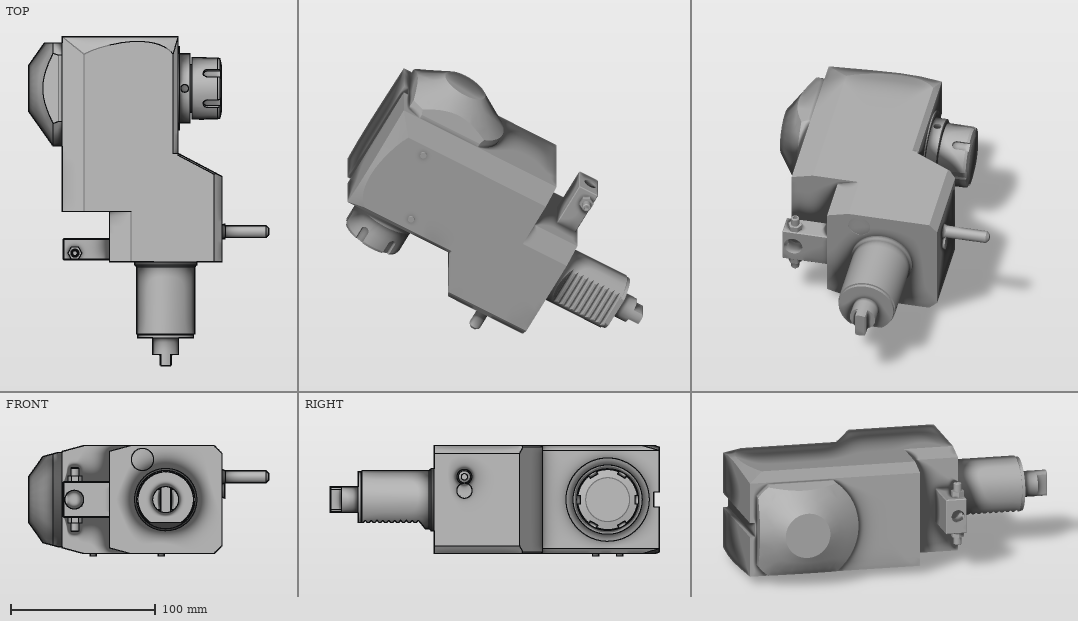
import cadquery as cq
import math


HALF_HEIGHT = 37.5
HEAD_LEFT = -71.7
HEAD_RIGHT = 8.6
HEAD_BACK = 156.0
BASE_HALF_WIDTH = 39.0
STEP_Y = 34.8
SLOPE_START_Y = 59.2
SLOPE_END_Y = 75.2
BEVEL_WIDTH = 15.1
BEVEL_ANGLE = 15.0
BEVEL_DROP = BEVEL_WIDTH * math.tan(math.radians(BEVEL_ANGLE))
BASE_CHAMFER = 5.5
HEAD_CHAMFER = 3.5
SLOPE_CHAMFER = 1.2
CROWN_DEPTH = 12.1
CROWN_RISE = 4.1
CROWN_LEFT_X, CROWN_LEFT_Z = -30.2, 36.1
CROWN_RIGHT_X, CROWN_RIGHT_Z = -13.4, 36.3
BACK_SLOT_WIDTH = 10.2
BACK_SLOT_DEPTH = 3.7
PLUG_X, PLUG_Z = -16.1, 27.8
PLUG_RADIUS = 7.7
PLUG_RECESS = 0.3

SPINDLE_Y = 120.2

COVER_RADIUS = 40.0
COVER_RIM_X = -78.0
COVER_END_X = -95.0
COVER_END_RADIUS = 15.9
COVER_BACK_Y = 151.7
COVER_LEDGE_X = -74.4

SEAT_RADIUS = 28.9
SEAT_END = 9.4
COLLAR_RADIUS = 24.0
COLLAR_END = 16.9
NECK_RADIUS = 16.7
NUT_START = 18.1
NUT_RADIUS = 21.4
NUT_TAPER_X = 35.8
NUT_LIP_X, NUT_LIP_RADIUS = 37.6, 20.8
NUT_END_X, NUT_END_RADIUS = 38.7, 15.2
NUT_SLOT_COUNT = 6
NUT_SLOT_WIDTH = 6.0
NUT_SLOT_START = 26.0
NUT_SLOT_FLOOR = 18.8
COLLAR_HOLE_RADIUS = 2.7
COLLAR_HOLE_DEPTH = 4.0

FLANGE_RADIUS = 21.6
FLANGE_END = -2.0
SHANK_START = -3.4
SHANK_RADIUS = 20.2
SHANK_RING_Y = -50.0
SHANK_END = -52.7
RING_RADIUS = 19.4
RING_GROOVE_DEPTH = 0.4
RING_GROOVE_WIDTH = 0.6
RACK_FLAT_Z = -16.0
RACK_RAMP_START = -6.1
RACK_RAMP_END = -9.5
RACK_GROOVES = 10
RACK_PITCH = 4.08
RACK_FIRST_Y = -11.0
RACK_GROOVE_DEPTH = 1.6
RACK_GROOVE_HALF_WIDTH = 1.4
TANG_RADIUS = 9.0
TANG_START = -64.2
TANG_END = -72.0
TANG_HALF_WIDTH = 3.9
TANG_FLAT_HALF = 6.9
TANG_TIP_HALF = 3.2
TANG_ROOT_FILLET = 1.0

BLOCK_LEFT = -71.0
BLOCK_FRONT, BLOCK_BACK = 1.3, 16.2
BLOCK_HALF_HEIGHT = 12.4
BLOCK_EDGE = 0.6
PORT_X = -63.3
PORT_FLOOR_Y = 13.0
SIDE_PORT_Y = 7.6
PORT_RADIUS = 6.5
SIDE_PORT_RADIUS = 4.6
SIDE_PORT_DEPTH = 15.0
SIDE_BORE_RADIUS = 1.6
SIDE_BORE_DEPTH = 18.0
BLOCK_SCREW_X = -62.9
BLOCK_SCREW_Y = 6.1
BLOCK_SCREW_RADIUS = 2.8
BLOCK_SCREW_TOP = 22.1
BLOCK_SCREW_CHAMFER = 0.5
SOCKET_WIDTH = 3.6
SOCKET_DEPTH = 2.5
BLOCK_NUT_WIDTH = 9.7
BLOCK_NUT_TOP = 16.3

PIN_Y = 21.0
PIN_Z = 15.8
PIN_RADIUS = 4.2
PIN_END = 71.5
PIN_CHAMFER = 2.0
PIN_COLLAR_RADIUS = 5.2
PIN_COLLAR_END = 41.3
STUD_Z = 6.2
STUD_RADIUS = 4.6
STUD_END_X, STUD_END_RADIUS = 40.9, 5.3

SCREW_OFFSET_Y = 8.3
SCREW_HEADS = [(-50.2, SPINDLE_Y + SCREW_OFFSET_Y), (-3.1, SPINDLE_Y - SCREW_OFFSET_Y)]
SCREW_HEAD_RADIUS = 2.2
SCREW_HEAD_HEIGHT = 1.6


def revolve_x(profile, y, z):
    """Turn (x, radius) points about the X-parallel axis through (y, z)."""
    points = [(profile[0][0], 0)] + profile + [(profile[-1][0], 0)]
    solid = cq.Workplane("XY").polyline(points).close().revolve(360, (0, 0, 0), (1, 0, 0))
    return solid.translate((0, y, z))


def revolve_y(profile):
    """Turn (radius, y) points about the Y axis."""
    points = [(0, profile[0][1])] + profile + [(0, profile[-1][1])]
    return cq.Workplane("XY").polyline(points).close().revolve(360, (0, 0, 0), (0, 1, 0))


def box(x0, x1, y0, y1, z0, z1):
    size = (x1 - x0, y1 - y0, z1 - z0)
    return cq.Workplane("XY").box(*size, centered=False).translate((x0, y0, z0))


def cylinder_z(x, y, radius, z0, z1):
    return cq.Workplane("XY", origin=(x, y, z0)).circle(radius).extrude(z1 - z0)


def both_sides(tool):
    """The tool together with its mirror image below the middle plane."""
    return tool.union(tool.mirror("XY"))


def extrude_along_y(points, y0, y1):
    """Prism from (x, z) points between two Y positions."""
    return cq.Workplane("XZ", origin=(0, y0, 0)).polyline(points).close().extrude(y0 - y1)


def left_bevel(left_x, y0, y1):
    points = [
        (left_x, HALF_HEIGHT - BEVEL_DROP),
        (left_x + BEVEL_WIDTH, HALF_HEIGHT),
        (left_x, HALF_HEIGHT),
    ]
    return both_sides(extrude_along_y(points, y0, y1))


def right_chamfer(right_x, size, y0, y1):
    points = [
        (right_x, HALF_HEIGHT - size),
        (right_x, HALF_HEIGHT),
        (right_x - size, HALF_HEIGHT),
    ]
    return both_sides(extrude_along_y(points, y0, y1))


def crown_relief():
    """Wedge removed at the back so that the top ends in a gentle crown."""
    above_top = HALF_HEIGHT + 2 * CROWN_RISE
    head_chamfer_z = HALF_HEIGHT - HEAD_CHAMFER
    back_curve = [
        (HEAD_LEFT, HALF_HEIGHT - BEVEL_DROP),
        (CROWN_LEFT_X, CROWN_LEFT_Z),
        (CROWN_RIGHT_X, CROWN_RIGHT_Z),
        (HEAD_RIGHT, head_chamfer_z),
    ]
    inner_curve = [
        (HEAD_LEFT + BEVEL_WIDTH, HALF_HEIGHT),
        (CROWN_LEFT_X, CROWN_LEFT_Z + CROWN_RISE),
        (CROWN_RIGHT_X, CROWN_RIGHT_Z + CROWN_RISE),
        (HEAD_RIGHT - HEAD_CHAMFER, HALF_HEIGHT),
    ]

    def section(curve, y):
        plane = cq.Workplane("XZ", origin=(0, y, 0))
        outline = plane.moveTo(*curve[0]).spline(curve[1:], includeCurrent=True)
        return outline.lineTo(curve[-1][0], above_top).lineTo(curve[0][0], above_top).close().val()

    wires = [section(back_curve, HEAD_BACK), section(inner_curve, HEAD_BACK - CROWN_DEPTH)]
    return both_sides(cq.Workplane(cq.Solid.makeLoft(wires, True)))


def housing():
    outline = [
        (-BASE_HALF_WIDTH, 0),
        (BASE_HALF_WIDTH, 0),
        (BASE_HALF_WIDTH, SLOPE_START_Y),
        (HEAD_RIGHT, SLOPE_END_Y),
        (HEAD_RIGHT, HEAD_BACK),
        (HEAD_LEFT, HEAD_BACK),
        (HEAD_LEFT, STEP_Y),
        (-BASE_HALF_WIDTH, STEP_Y),
    ]
    body = cq.Workplane("XY").polyline(outline).close().extrude(HALF_HEIGHT, both=True)
    slope_middle = ((BASE_HALF_WIDTH + HEAD_RIGHT) / 2, (SLOPE_START_Y + SLOPE_END_Y) / 2)
    for z in (HALF_HEIGHT, -HALF_HEIGHT):
        edge = cq.selectors.NearestToPointSelector((*slope_middle, z))
        body = body.edges(edge).chamfer(SLOPE_CHAMFER)
    body = body.cut(left_bevel(HEAD_LEFT, STEP_Y, HEAD_BACK))
    body = body.cut(left_bevel(-BASE_HALF_WIDTH, 0, STEP_Y))
    body = body.cut(right_chamfer(BASE_HALF_WIDTH, BASE_CHAMFER, 0, SLOPE_END_Y))
    body = body.cut(right_chamfer(HEAD_RIGHT, HEAD_CHAMFER, SLOPE_END_Y, HEAD_BACK))
    body = body.cut(crown_relief())
    half_slot = BACK_SLOT_WIDTH / 2
    slot_floor = HEAD_BACK - BACK_SLOT_DEPTH
    body = body.cut(box(HEAD_LEFT, HEAD_RIGHT, slot_floor, HEAD_BACK, -half_slot, half_slot))
    plug_mark = cq.Workplane("XZ").center(PLUG_X, PLUG_Z).circle(PLUG_RADIUS).extrude(-PLUG_RECESS)
    return body.cut(plug_mark)


def end_cover():
    profile = [
        (HEAD_LEFT, COVER_RADIUS),
        (COVER_RIM_X, COVER_RADIUS),
        (COVER_END_X, COVER_END_RADIUS),
    ]
    cover = revolve_x(profile, SPINDLE_Y, 0)
    slope = math.tan(math.radians(BEVEL_ANGLE))
    edge_z = HALF_HEIGHT - BEVEL_DROP
    ledge_z = edge_z - slope * (HEAD_LEFT - COVER_LEDGE_X)
    end_z = edge_z - slope * (HEAD_LEFT - COVER_END_X)
    envelope = [
        (HEAD_LEFT, ledge_z),
        (COVER_LEDGE_X, ledge_z),
        (COVER_END_X, end_z),
        (COVER_END_X, -end_z),
        (COVER_LEDGE_X, -ledge_z),
        (HEAD_LEFT, -ledge_z),
    ]
    return cover.intersect(extrude_along_y(envelope, SPINDLE_Y - COVER_RADIUS, COVER_BACK_Y))


def collet_nut():
    profile = [
        (HEAD_RIGHT, SEAT_RADIUS),
        (SEAT_END, SEAT_RADIUS),
        (SEAT_END, COLLAR_RADIUS),
        (COLLAR_END, COLLAR_RADIUS),
        (COLLAR_END, NECK_RADIUS),
        (NUT_START, NECK_RADIUS),
        (NUT_START, NUT_RADIUS),
        (NUT_TAPER_X, NUT_RADIUS),
        (NUT_LIP_X, NUT_LIP_RADIUS),
        (NUT_END_X, NUT_END_RADIUS),
    ]
    nut = revolve_x(profile, SPINDLE_Y, 0)
    half_slot = NUT_SLOT_WIDTH / 2
    straight_start = NUT_SLOT_START + half_slot
    slot = box(straight_start, NUT_END_X, -half_slot, half_slot, NUT_SLOT_FLOOR, NUT_RADIUS)
    slot = slot.union(cylinder_z(straight_start, 0, half_slot, NUT_SLOT_FLOOR, NUT_RADIUS))
    step = 360 / NUT_SLOT_COUNT
    for index in range(NUT_SLOT_COUNT):
        turned = slot.rotate((0, 0, 0), (1, 0, 0), step * (index + 0.5))
        nut = nut.cut(turned.translate((0, SPINDLE_Y, 0)))
    hole_x = (SEAT_END + COLLAR_END) / 2
    hole_floor = COLLAR_RADIUS - COLLAR_HOLE_DEPTH
    return nut.cut(cylinder_z(hole_x, SPINDLE_Y, COLLAR_HOLE_RADIUS, hole_floor, COLLAR_RADIUS))


def shank():
    groove_radius = RING_RADIUS - RING_GROOVE_DEPTH
    profile = [
        (FLANGE_RADIUS, 0),
        (FLANGE_RADIUS, FLANGE_END),
        (SHANK_RADIUS, SHANK_START),
        (SHANK_RADIUS, SHANK_RING_Y),
        (groove_radius, SHANK_RING_Y),
        (groove_radius, SHANK_RING_Y - RING_GROOVE_WIDTH),
        (RING_RADIUS, SHANK_RING_Y - RING_GROOVE_WIDTH),
        (RING_RADIUS, SHANK_END),
    ]
    return revolve_y(profile)


def rack_cut():
    """Flat with a ramp under the shank, carrying a row of V grooves."""
    def prism(points):
        return cq.Workplane("YZ").polyline(points).close().extrude(FLANGE_RADIUS, both=True)

    below = -FLANGE_RADIUS
    tool = prism([
        (RACK_RAMP_START, -SHANK_RADIUS),
        (RACK_RAMP_END, RACK_FLAT_Z),
        (SHANK_END, RACK_FLAT_Z),
        (SHANK_END, below),
        (RACK_RAMP_START, below),
    ])
    for index in range(RACK_GROOVES):
        y = RACK_FIRST_Y - index * RACK_PITCH
        tool = tool.union(prism([
            (y - RACK_GROOVE_HALF_WIDTH, RACK_FLAT_Z),
            (y, RACK_FLAT_Z + RACK_GROOVE_DEPTH),
            (y + RACK_GROOVE_HALF_WIDTH, RACK_FLAT_Z),
        ]))
    return tool


def drive_tang():
    """Round neck ending in a blade with bevelled edges and filleted roots."""
    tip_bevel = TANG_HALF_WIDTH - TANG_TIP_HALF
    root_y = TANG_START - TANG_ROOT_FILLET
    root_half = TANG_HALF_WIDTH + TANG_ROOT_FILLET
    blade_outline = [
        (TANG_HALF_WIDTH, TANG_FLAT_HALF),
        (TANG_TIP_HALF, TANG_RADIUS),
        (-TANG_TIP_HALF, TANG_RADIUS),
        (-TANG_HALF_WIDTH, TANG_FLAT_HALF),
        (-TANG_HALF_WIDTH, -TANG_FLAT_HALF),
        (-TANG_TIP_HALF, -TANG_RADIUS),
        (TANG_TIP_HALF, -TANG_RADIUS),
        (TANG_HALF_WIDTH, -TANG_FLAT_HALF),
    ]
    blade = extrude_along_y(blade_outline, TANG_END, TANG_START)
    tip_outline = [
        (TANG_HALF_WIDTH, TANG_START),
        (TANG_HALF_WIDTH, TANG_END + tip_bevel),
        (TANG_TIP_HALF, TANG_END),
        (-TANG_TIP_HALF, TANG_END),
        (-TANG_HALF_WIDTH, TANG_END + tip_bevel),
        (-TANG_HALF_WIDTH, TANG_START),
    ]
    tip_prism = cq.Workplane("XY").polyline(tip_outline).close().extrude(TANG_RADIUS, both=True)
    blade = blade.intersect(tip_prism)
    root = (
        cq.Workplane("XY")
        .moveTo(-root_half, TANG_START)
        .radiusArc((-TANG_HALF_WIDTH, root_y), TANG_ROOT_FILLET)
        .lineTo(TANG_HALF_WIDTH, root_y)
        .radiusArc((root_half, TANG_START), TANG_ROOT_FILLET)
        .close()
        .extrude(TANG_FLAT_HALF, both=True)
    )
    rod = revolve_y([(TANG_RADIUS, SHANK_END), (TANG_RADIUS, TANG_END)])
    neck = revolve_y([(TANG_RADIUS, SHANK_END), (TANG_RADIUS, TANG_START)])
    return neck.union(blade.union(root).intersect(rod))


def hexagon_z(width, z0, z1):
    """Hexagonal prism on the clamp screw axis, with two corners along X."""
    plane = cq.Workplane("XY", origin=(BLOCK_SCREW_X, BLOCK_SCREW_Y, z0))
    return plane.polygon(6, width).extrude(z1 - z0)


def clamp_screw():
    screw = cylinder_z(BLOCK_SCREW_X, BLOCK_SCREW_Y, BLOCK_SCREW_RADIUS, BLOCK_HALF_HEIGHT, BLOCK_SCREW_TOP)
    screw = screw.faces(">Z").chamfer(BLOCK_SCREW_CHAMFER)
    screw = screw.union(hexagon_z(BLOCK_NUT_WIDTH, BLOCK_HALF_HEIGHT, BLOCK_NUT_TOP))
    return screw.cut(hexagon_z(SOCKET_WIDTH, BLOCK_SCREW_TOP - SOCKET_DEPTH, BLOCK_SCREW_TOP))


def coolant_block():
    half_height = BLOCK_HALF_HEIGHT
    block = box(BLOCK_LEFT, -BASE_HALF_WIDTH, BLOCK_FRONT, BLOCK_BACK, -half_height, half_height)
    block = block.faces("<X").edges().chamfer(BLOCK_EDGE).edges("|X").chamfer(BLOCK_EDGE)
    block = block.union(both_sides(clamp_screw()))
    front_plane = cq.Workplane("XZ", origin=(PORT_X, BLOCK_FRONT, 0))
    front_port = front_plane.circle(PORT_RADIUS).extrude(BLOCK_FRONT - PORT_FLOOR_Y)
    side_plane = cq.Workplane("YZ", origin=(BLOCK_LEFT, SIDE_PORT_Y, 0))
    side_port = side_plane.circle(SIDE_PORT_RADIUS).extrude(SIDE_PORT_DEPTH)
    side_bore = side_plane.circle(SIDE_BORE_RADIUS).extrude(SIDE_BORE_DEPTH)
    return block.cut(front_port).cut(side_port).cut(side_bore)


def locating_pin():
    profile = [
        (BASE_HALF_WIDTH, PIN_COLLAR_RADIUS),
        (PIN_COLLAR_END, PIN_RADIUS),
        (PIN_END - PIN_CHAMFER, PIN_RADIUS),
        (PIN_END, PIN_RADIUS - PIN_CHAMFER),
    ]
    stud_profile = [(BASE_HALF_WIDTH, STUD_RADIUS), (STUD_END_X, STUD_END_RADIUS)]
    stud = revolve_x(stud_profile, PIN_Y, STUD_Z)
    return revolve_x(profile, PIN_Y, PIN_Z).union(stud)


def screw_heads():
    heads = cq.Workplane("XY", origin=(0, 0, -HALF_HEIGHT)).pushPoints(SCREW_HEADS)
    return heads.circle(SCREW_HEAD_RADIUS).extrude(-SCREW_HEAD_HEIGHT)


result = (
    housing()
    .union(end_cover())
    .union(collet_nut())
    .union(shank().cut(rack_cut()))
    .union(drive_tang())
    .union(coolant_block())
    .union(locating_pin())
    .union(screw_heads())
)